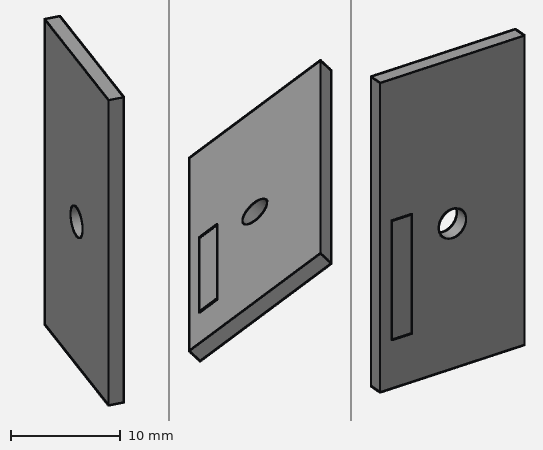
import cadquery as cq

plate_width = 16.0
plate_height = 32.0
overall_thickness = 1.6
strip_thickness = 0.1
plate_thickness = overall_thickness - strip_thickness

hole_diameter = 3.0
hole_drop = 1.0

strip_width = 2.2
strip_height = 12.32
strip_center_x = 5.63
strip_center_z = -4.77

plate = (
    cq.Workplane("XY")
    .box(plate_width, plate_thickness, plate_height)
    .faces("<Y")
    .workplane(centerOption="CenterOfBoundBox")
    .center(0, -hole_drop)
    .hole(hole_diameter)
)

strip = (
    cq.Workplane("XY")
    .box(strip_width, strip_thickness, strip_height)
    .translate((strip_center_x, overall_thickness / 2, strip_center_z))
)

result = plate.union(strip)